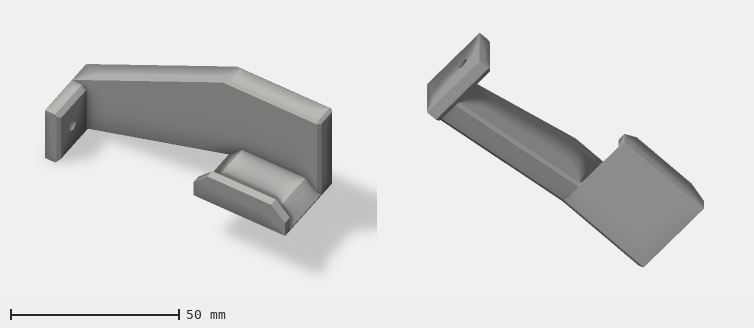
import cadquery as cq

length = 87.0
depth = 27.15
height = 48.0

wall_thickness = 7.9
wall_edge_chamfer = 1.0

plate_thickness = 5.05
plate_depth = 23.0
plate_height = 20.0
plate_end_chamfer = 1.5
plate_side_chamfer = 1.0
hole_diameter = 3.5
hole_y = -15.5
hole_z = plate_height / 2

tray_start_x = 54.8
tray_bottom_z = 17.05
tray_side_height = 0.5
tray_bevel = 5.0
lip_thickness = 2.7
lip_side_height = tray_side_height + tray_bevel


def make_wall():
    outline = [
        (0, plate_end_chamfer),
        (plate_thickness, plate_end_chamfer),
        (tray_start_x, tray_bottom_z),
        (length, tray_bottom_z),
        (length, height),
        (tray_start_x, height),
        (0, plate_height),
    ]
    wall = cq.Workplane("XZ").polyline(outline).close().extrude(wall_thickness)
    middle_x = (plate_thickness + tray_start_x) / 2
    middle_z = (plate_end_chamfer + tray_bottom_z) / 2
    beveled = wall.faces(">X").edges("not <Z")
    beveled = beveled.add(wall.faces(">Z").edges("|X"))
    for y in (0, -wall_thickness):
        slope_middle = (middle_x, y, middle_z)
        tray_middle = ((tray_start_x + length) / 2, y, tray_bottom_z)
        for point in (slope_middle, tray_middle):
            beveled = beveled.add(wall.edges(cq.selectors.NearestToPointSelector(point)))
    wall = beveled.chamfer(wall_edge_chamfer)
    return wall


def make_plate():
    plate = cq.Workplane("XY").box(plate_thickness, plate_depth, plate_height, centered=False)
    plate = plate.translate((0, -plate_depth, 0))
    plate = plate.edges(">X and |Y").chamfer(plate_end_chamfer)
    corner = (
        cq.Workplane("XY")
        .moveTo(plate_thickness, -plate_depth)
        .lineTo(plate_thickness - plate_side_chamfer, -plate_depth)
        .lineTo(plate_thickness, -plate_depth + plate_side_chamfer)
        .close()
        .extrude(plate_height)
    )
    return plate.cut(corner)


def make_beveled_block(side_height, front_y, block_depth):
    """Block with 45 degree bevels above its short upright sides."""
    side_z = tray_bottom_z + side_height
    top_z = side_z + tray_bevel
    outline = [
        (tray_start_x, tray_bottom_z),
        (length, tray_bottom_z),
        (length, side_z),
        (length - tray_bevel, top_z),
        (tray_start_x + tray_bevel, top_z),
        (tray_start_x, side_z),
    ]
    block = cq.Workplane("XZ", origin=(0, front_y + block_depth, 0))
    return block.polyline(outline).close().extrude(block_depth)


def make_hole():
    hole = cq.Workplane("YZ").center(hole_y, hole_z).circle(hole_diameter / 2)
    return hole.extrude(plate_thickness)


tray_depth = depth - wall_thickness + wall_edge_chamfer
tray = make_beveled_block(tray_side_height, -depth, tray_depth)
lip = make_beveled_block(lip_side_height, -depth, lip_thickness)

result = make_wall().union(make_plate()).union(tray).union(lip).cut(make_hole())